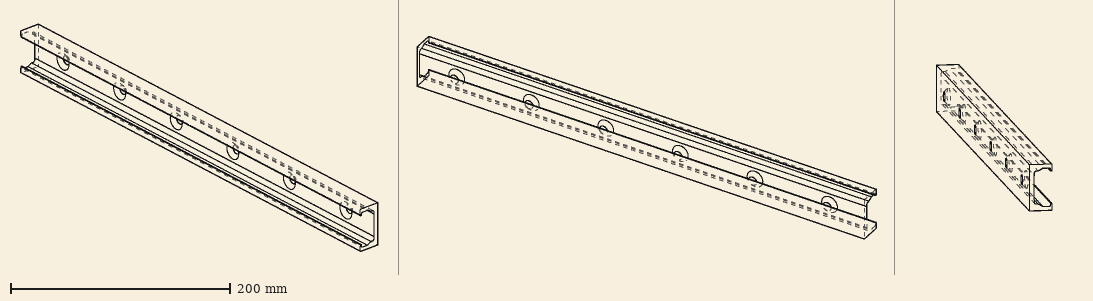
import cadquery as cq

length = 480.0
depth = 21.0
height = 43.0

web_thickness = 4.5
flange_thickness = 4.0

corner_radius = 2.0
step_height = 10.0
step_depth = 0.25
gusset_height = 6.0
gusset_start = 13.0
flange_start = 8.5

lip_thickness = 1.5
lip_bevel = 0.5
lip_height = 6.5
lip_root_radius = 1.5
lip_front_height = 5.0

edge_radius = 1.0

hole_count = 6
hole_diameter = 8.5
countersink_diameter = 17.0
countersink_angle = 90.0
hole_pitch = length / hole_count


def round_long_edge(body, y, z, radius):
    """Fillet the edge that runs along X at the given Y and Z."""
    edge = cq.selectors.NearestToPointSelector((length / 2, y, z))
    return body.edges("|X").edges(edge).fillet(radius)


def make_channel():
    """Extrude the C profile, symmetric about the XY plane."""
    half_height = height / 2
    corner_y = depth - web_thickness - step_depth
    upper_half = [
        (depth, half_height),
        (0, half_height),
        (0, half_height - lip_front_height),
        (lip_bevel, half_height - lip_height),
        (lip_thickness, half_height - lip_height),
        (lip_thickness, half_height - flange_thickness),
        (flange_start, half_height - flange_thickness),
        (gusset_start, half_height - gusset_height),
        (corner_y, half_height - gusset_height),
        (corner_y, half_height - step_height),
        (depth - web_thickness, half_height - step_height),
    ]
    lower_half = [(y, -z) for y, z in reversed(upper_half)]
    channel = cq.Workplane("YZ").polyline(upper_half + lower_half).close().extrude(length)

    corner_z = half_height - gusset_height
    lip_root_z = half_height - flange_thickness
    for side in (1, -1):
        channel = round_long_edge(channel, corner_y, side * corner_z, corner_radius)
        channel = round_long_edge(channel, lip_thickness, side * lip_root_z, lip_root_radius)
        channel = round_long_edge(channel, 0, side * half_height, edge_radius)
    return channel


def drill_holes(rail):
    """Cut the evenly spaced holes, countersunk from the channel side."""
    centers = [((i + 0.5) * hole_pitch, 0) for i in range(hole_count)]
    web_face = cq.Workplane("XZ", origin=(0, depth - web_thickness, 0))
    return (
        rail.copyWorkplane(web_face)
        .pushPoints(centers)
        .cskHole(hole_diameter, countersink_diameter, countersink_angle, depth=web_thickness)
    )


result = drill_holes(make_channel())